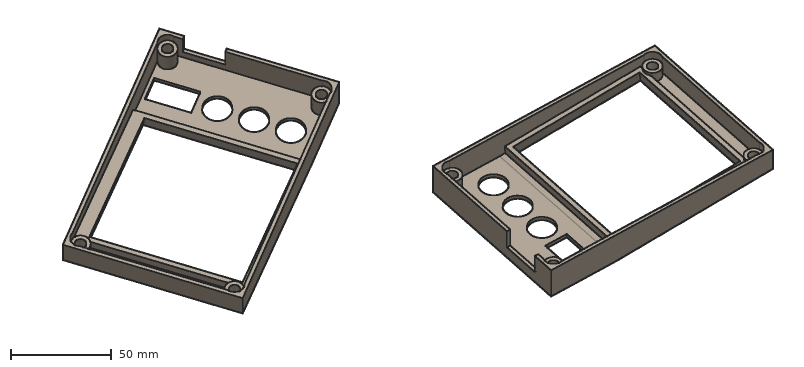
import cadquery as cq
import math

width = 95.0
length = 140.0
height = 18.0
wall = 2.1
floor = 2.4
left = -width / 2
front = -length / 2
back = length / 2

flat_length = 40.5
front_rise = 4.9
kink_y = back - flat_length
slope = front_rise / (length - flat_length)
slope_angle = math.degrees(math.atan(slope))

frame_back = 43.7
frame_front = 10.4
frame_top = 7.1
window_left = 9.1
window_right = 5.0
window_back = 46.6
window_front = 13.6
window_flare = 0.8

control_y = back - 25.5
button_diameter = 15.1
first_button_x = left + 39.9
button_pitch = 19.5
button_count = 3
switch_left = 4.0
switch_width = 24.5
switch_length = 13.6

post_diameter = 10.1
post_inset = 6.9
post_drop = 4.9
screw_mouth_diameter = 5.7
screw_tip_diameter = 4.8
screw_depth = 7.0

notch_left = 13.2
notch_width = 22.4
notch_depth = 11.0


def side_prism(points, x_min, x_max):
    """Extrude a closed (Y, Z) outline along X."""
    outline = cq.Workplane("YZ", origin=(x_min, 0, 0)).polyline(points).close()
    return outline.extrude(x_max - x_min)


def profile_above(offset, y_front, y_back):
    """Outline from the rim down to the underside raised by a vertical offset."""
    return [
        (y_back, height),
        (y_back, offset),
        (kink_y, offset),
        (y_front, offset + (kink_y - y_front) * slope),
        (y_front, height),
    ]


def make_tray():
    outer = side_prism(profile_above(0, front, back), left, -left)
    cavity = side_prism(profile_above(floor, front + wall, back - wall), left + wall, -left - wall)
    return outer.cut(cavity)


def along_slope(y):
    """Distance down the sloping underside from the kink to a given Y."""
    return (kink_y - y) / math.cos(math.radians(slope_angle))


def make_frame():
    start = along_slope(back - frame_back - frame_top * slope)
    end = along_slope(front + frame_front)
    bar = cq.Workplane("XY").box(
        width - 2 * wall, end - start, frame_top - floor / 2, centered=(True, False, False)
    )
    bar = bar.translate((0, -end, floor / 2))
    return place_on_slope(bar)


def place_on_slope(body):
    """Tilt a body about the kink line so its XY plane lies on the sloping underside."""
    return body.rotate((0, 0, 0), (1, 0, 0), -slope_angle).translate((0, kink_y, 0))


def make_window():
    top_width = width - window_left - window_right
    center_x = (window_left - window_right) / 2
    start = along_slope(back - window_back - frame_top * slope)
    end = along_slope(front + window_front - frame_top * slope)
    center_y = -(start + end) / 2
    cutter = (
        cq.Workplane("XY")
        .center(center_x, center_y)
        .rect(top_width + 2 * window_flare, end - start + 2 * window_flare)
        .workplane(offset=frame_top)
        .rect(top_width, end - start)
        .loft(ruled=True)
    )
    return place_on_slope(cutter)


def make_control_openings():
    button_xs = [first_button_x + i * button_pitch for i in range(button_count)]
    buttons = (
        cq.Workplane("XY")
        .pushPoints([(x, control_y) for x in button_xs])
        .circle(button_diameter / 2)
        .extrude(height)
    )
    switch = (
        cq.Workplane("XY")
        .center(left + switch_left + switch_width / 2, control_y)
        .rect(switch_width, switch_length)
        .extrude(height)
    )
    return buttons.union(switch)


def add_screw_post(body, x, y):
    """Fill the cavity corner, fuse a post to it, clear the space above and sink the screw hole."""
    post_top = height - post_drop
    floor_z = floor / 2 + max(0, kink_y - y) * slope
    post = cq.Workplane("XY", origin=(x, y, floor_z)).circle(post_diameter / 2).extrude(post_top - floor_z)
    corner_x = math.copysign(post_inset, x)
    corner_y = math.copysign(post_inset, y)
    corner = cq.Workplane("XY", origin=(x + corner_x / 2, y + corner_y / 2, floor_z))
    corner = corner.rect(post_inset, post_inset).extrude(height - floor_z)
    clearance = cq.Workplane("XY", origin=(x, y, post_top)).circle(post_diameter / 2).extrude(post_drop)
    screw_hole = (
        cq.Workplane("XY", origin=(x, y, post_top))
        .circle(screw_mouth_diameter / 2)
        .workplane(offset=-screw_depth)
        .circle(screw_tip_diameter / 2)
        .loft()
    )
    return body.union(post).union(corner).cut(clearance).cut(screw_hole)


def make_cable_notch():
    return cq.Workplane("XY").box(notch_width, wall, notch_depth, centered=False).translate(
        (left + notch_left, back - wall, height - notch_depth)
    )


result = make_tray().union(make_frame()).cut(make_window())
result = result.cut(make_control_openings()).cut(make_cable_notch())
post_x = width / 2 - post_inset
post_y = length / 2 - post_inset
for x_sign in (-1, 1):
    for y_sign in (-1, 1):
        result = add_screw_post(result, x_sign * post_x, y_sign * post_y)